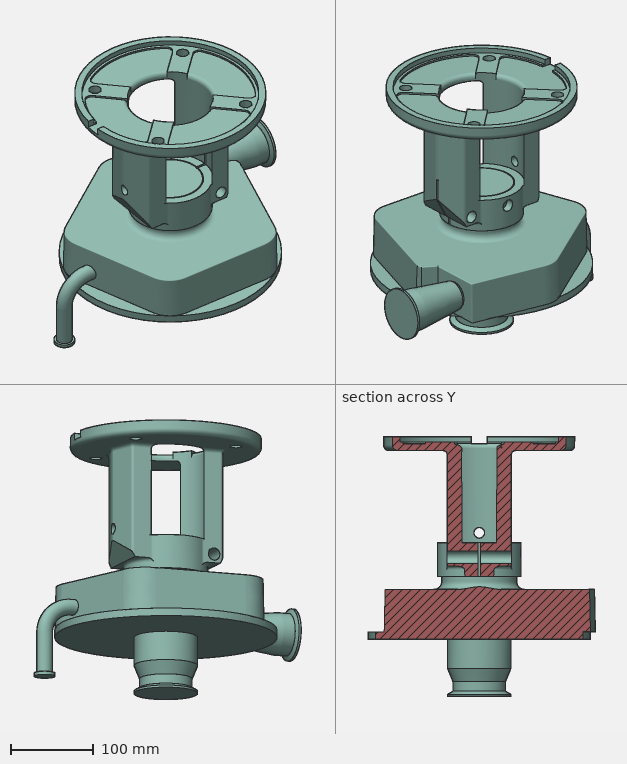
import cadquery as cq
import math


TOLERANCE = 0.05
CUT_OVERLAP = 3.7

PLATE_RADIUS = 134.5
PLATE_THICKNESS = 9.3
CASING_TOP = 60.8
CASING_APOTHEM = 115.3
CASING_SIDES = 5
CASING_CORNER_RADIUS = 35.0
CASING_DRAFT = 1.2
CASING_RIM_FILLET = 1.0
DISCHARGE_FACE_Y = 115.5
DISCHARGE_CORNER_FILLET = 2.2
DISCHARGE_CORNER_X = -123.8
NOTCH_X = -58.0
NOTCH_ANGLE = 60.0
CREST_Y = 133.0

NECK_RADIUS = 45.5
NECK_FILLET = 9.0
RING_RADIUS = 50.8
RING_BORE_RADIUS = 40.0
RING_BOTTOM = 76.0
RING_TOP = 117.0
SHAFT_RADIUS = 39.0
RING_HOLE_RADIUS = 7.5
RING_HOLE_Z = 104.5

FLANGE_RADIUS = 115.5
FLANGE_BOTTOM = 228.5
FLANGE_TOP = 245.5
FLANGE_EDGE_FILLET = 6.3
SPIGOT_RADIUS = 107.0
BORE_RADIUS = 52.0
PAD_Z = 239.0
POCKET_Z = 237.0
POCKET_RADIUS = 103.5
POCKET_CORNER_RADIUS = 8.0
PAD_WIDTH = 25.0
BORE_LIP_FILLET = 5.5
BOLT_CIRCLE_RADIUS = 92.3
BOLT_HOLE_RADIUS = 7.5
RIM_SLOT_WIDTH = 19.3

LEG_HALF_WIDTH = 39.0
LEG_SHOULDER_Y = 59.0
LEG_CREST_Y = 69.5
LEG_CREST_WIDTH = 5.0
LEG_EDGE_FILLET = 3.7
LEG_BOTTOM = 88.5
LEG_SLOPE_TOP = 114.0
LEG_SLOPE_BOTTOM_Y = 55.5
LEG_TOP_FILLET = 5.0
LEG_FOOT_FILLET = 4.5
SIGHT_HOLE_RADIUS = 6.3
SIGHT_HOLE_Z = 129.0
CLAMP_HOLE_RADIUS = 7.5
CLAMP_HOLE_Y = 47.5
CLAMP_HOLE_Z = 99.5
SLIT_WIDTH = 2.5
SLIT_TOP = 141.0

SUCTION_RADIUS = 38.5
SUCTION_END_RADIUS = 32.0
SUCTION_CONE_TOP = -35.0
SUCTION_CONE_BOTTOM = -51.0
SUCTION_COLLAR_TOP = -62.5
SUCTION_RIM_TOP = -66.5
SUCTION_BOTTOM = -69.0

DISCHARGE_X = -91.2
DISCHARGE_ROOT_RADIUS = 16.5
DISCHARGE_CONE_RADIUS = 18.5
DISCHARGE_CONE_START = 119.0
DISCHARGE_RADIUS = 26.0
DISCHARGE_CONE_END = 179.8
DISCHARGE_COLLAR_START = 194.5
DISCHARGE_RIM_START = 197.2
DISCHARGE_RIM_RADIUS = 32.0
DISCHARGE_END = 200.0

DRAIN_RADIUS = 9.5
DRAIN_Z = 28.0
DRAIN_BEND_RADIUS = 34.0
DRAIN_Y = -158.0
DRAIN_RIM_RADIUS = 12.5
DRAIN_RIM_TOP = -55.5
DRAIN_BOTTOM = -59.5


def cylinder(radius, bottom, top):
    return cq.Workplane("XY", origin=(0, 0, bottom)).circle(radius).extrude(top - bottom)


def axis_distance(point):
    return math.hypot(point.x, point.y)


def make_casing():
    """Drafted pentagon around the axis, drawn out at one corner to the upright discharge face."""
    side_turn = 2 * math.pi / CASING_SIDES
    corner_distance = CASING_APOTHEM / math.cos(side_turn / 2)
    corner_turns = [math.pi + index * side_turn for index in range(CASING_SIDES - 1)]
    corners = [(corner_distance * math.cos(turn), corner_distance * math.sin(turn)) for turn in corner_turns]
    far_y = CREST_Y + CUT_OVERLAP
    far_right_x = (CASING_APOTHEM - far_y * math.sin(side_turn)) / math.cos(side_turn)
    left_run = (DISCHARGE_CORNER_X + corner_distance) / DISCHARGE_FACE_Y
    far_left_x = far_y * left_run - corner_distance
    outline = corners + [(far_right_x, far_y), (far_left_x, far_y)]

    sketch = cq.Sketch().polygon(outline + outline[:1])
    for x, y in corners:
        nearest = cq.selectors.NearestToPointSelector((x, y, 0))
        sketch = sketch.reset().vertices(nearest).fillet(CASING_CORNER_RADIUS)
    casing = (
        cq.Workplane("XY", origin=(0, 0, PLATE_THICKNESS))
        .placeSketch(sketch.reset())
        .extrude(CASING_TOP - PLATE_THICKNESS, taper=CASING_DRAFT)
    )

    notch_run = (CREST_Y - DISCHARGE_FACE_Y) / math.tan(math.radians(NOTCH_ANGLE))
    trim = (
        cq.Workplane("XY", origin=(0, 0, PLATE_THICKNESS))
        .polyline([
            (-corner_distance, DISCHARGE_FACE_Y), (NOTCH_X, DISCHARGE_FACE_Y),
            (NOTCH_X + notch_run, CREST_Y), (corner_distance, CREST_Y),
            (corner_distance, far_y), (-corner_distance, far_y),
        ])
        .close()
        .extrude(CASING_TOP - PLATE_THICKNESS)
    )
    casing = casing.cut(trim)
    discharge_corner = cq.selectors.NearestToPointSelector(
        (DISCHARGE_CORNER_X, DISCHARGE_FACE_Y, (PLATE_THICKNESS + CASING_TOP) / 2)
    )
    casing = casing.edges(discharge_corner).fillet(DISCHARGE_CORNER_FILLET)
    casing = casing.faces(">Z").edges().fillet(CASING_RIM_FILLET)
    return casing.union(cylinder(PLATE_RADIUS, 0, PLATE_THICKNESS))


def make_neck():
    """Neck with a flared foot on the casing, carrying the shaft end."""
    flare_radius = NECK_RADIUS + NECK_FILLET
    flare_top = CASING_TOP + NECK_FILLET
    bend = NECK_FILLET * (1 - math.sqrt(0.5))
    neck = (
        cq.Workplane("XZ")
        .moveTo(0, PLATE_THICKNESS)
        .lineTo(NECK_RADIUS, PLATE_THICKNESS)
        .lineTo(NECK_RADIUS, CASING_TOP)
        .lineTo(flare_radius, CASING_TOP)
        .threePointArc((NECK_RADIUS + bend, CASING_TOP + bend), (NECK_RADIUS, flare_top))
        .lineTo(NECK_RADIUS, RING_BOTTOM)
        .lineTo(0, RING_BOTTOM)
        .close()
        .revolve(360, (0, 0, 0), (0, 1, 0))
    )
    return neck.union(cylinder(SHAFT_RADIUS, PLATE_THICKNESS, RING_TOP))


def make_pads(bottom, top):
    """Two crossed bars that carry the bolt holes."""
    bar = (
        cq.Workplane("XY", origin=(0, 0, bottom))
        .rect(2 * FLANGE_RADIUS, PAD_WIDTH)
        .extrude(top - bottom)
        .rotate((0, 0, 0), (0, 0, 1), 45)
    )
    return bar.union(bar.rotate((0, 0, 0), (0, 0, 1), 90))


def make_pockets():
    """Four sectors between the pads, each with a rounded lip down into the bore."""
    pads = make_pads(POCKET_Z - BORE_LIP_FILLET, PAD_Z)
    pockets = (
        cylinder(POCKET_RADIUS, POCKET_Z, PAD_Z)
        .cut(cylinder(BORE_RADIUS, POCKET_Z, PAD_Z))
        .cut(pads)
    )
    mid_radius = (BORE_RADIUS + POCKET_RADIUS) / 2
    outer_corners = pockets.edges("|Z").filter(lambda edge: axis_distance(edge.Center()) > mid_radius)
    pockets = outer_corners.fillet(POCKET_CORNER_RADIUS)
    lip_bottom = POCKET_Z - BORE_LIP_FILLET
    lip = (
        cq.Workplane("XZ")
        .moveTo(BORE_RADIUS, POCKET_Z)
        .lineTo(BORE_RADIUS + BORE_LIP_FILLET, POCKET_Z)
        .radiusArc((BORE_RADIUS, lip_bottom), -BORE_LIP_FILLET)
        .close()
        .revolve(360, (0, 0, 0), (0, 1, 0))
        .cut(pads)
    )
    return pockets.union(lip)


def make_flange():
    """Motor flange: recessed face, four pockets between bolt pads and a slot in the rim."""
    flange = cylinder(FLANGE_RADIUS, FLANGE_BOTTOM, FLANGE_TOP)
    flange = flange.faces("<Z").edges().fillet(FLANGE_EDGE_FILLET)
    bolt_holes = (
        cq.Workplane("XY", origin=(0, 0, FLANGE_BOTTOM))
        .polarArray(BOLT_CIRCLE_RADIUS, 45, 360, 4)
        .circle(BOLT_HOLE_RADIUS)
        .extrude(FLANGE_TOP - FLANGE_BOTTOM)
    )
    rim_slot = (
        cq.Workplane("XY")
        .box(
            RIM_SLOT_WIDTH, FLANGE_RADIUS - POCKET_RADIUS + CUT_OVERLAP, FLANGE_TOP - POCKET_Z,
            centered=(True, False, False),
        )
        .translate((0, -FLANGE_RADIUS, POCKET_Z))
    )
    return (
        flange
        .cut(cylinder(SPIGOT_RADIUS, PAD_Z, FLANGE_TOP))
        .cut(cylinder(BORE_RADIUS, FLANGE_BOTTOM, FLANGE_TOP))
        .cut(make_pockets())
        .cut(bolt_holes)
        .cut(rim_slot)
    )


def make_leg():
    """Leg on the +Y side, with a crest along its outer face and a sloped lower end."""
    half_crest = LEG_CREST_WIDTH / 2
    leg = (
        cq.Workplane("XY", origin=(0, 0, LEG_BOTTOM))
        .polyline([
            (-LEG_HALF_WIDTH, 0), (LEG_HALF_WIDTH, 0),
            (LEG_HALF_WIDTH, LEG_SHOULDER_Y), (half_crest, LEG_CREST_Y),
            (-half_crest, LEG_CREST_Y), (-LEG_HALF_WIDTH, LEG_SHOULDER_Y),
        ])
        .close()
        .extrude(FLANGE_BOTTOM - LEG_BOTTOM)
    )
    shoulders = leg.edges("|Z").filter(lambda edge: abs(edge.Center().y - LEG_SHOULDER_Y) < TOLERANCE)
    leg = shoulders.fillet(LEG_EDGE_FILLET)
    lower_end = (
        cq.Workplane("YZ", origin=(-LEG_HALF_WIDTH, 0, 0))
        .polyline([
            (LEG_SLOPE_BOTTOM_Y, LEG_BOTTOM), (LEG_CREST_Y, LEG_SLOPE_TOP), (LEG_CREST_Y, LEG_BOTTOM),
        ])
        .close()
        .extrude(2 * LEG_HALF_WIDTH)
    )
    return leg.cut(lower_end)


def is_foot_edge(edge):
    """True for the edges where the legs stand on the clamp ring."""
    on_ring = all(
        abs(axis_distance(point) - RING_RADIUS) < TOLERANCE
        for point in (edge.startPoint(), edge.endPoint())
    )
    return on_ring and RING_BOTTOM + TOLERANCE < edge.Center().z < RING_TOP - TOLERANCE


def is_leg_top_edge(edge):
    """True for the outline of the legs on the underside of the flange, apart from the bore."""
    leg_corner_distance = math.hypot(LEG_HALF_WIDTH, LEG_CREST_Y)
    on_underside = abs(edge.Center().z - FLANGE_BOTTOM) < TOLERANCE
    distance = axis_distance(edge.positionAt(0.5))
    return on_underside and BORE_RADIUS + TOLERANCE < distance < leg_corner_distance


def make_bracket():
    """Motor flange, two legs and the clamp ring."""
    rear_leg = make_leg()
    legs = rear_leg.union(rear_leg.rotate((0, 0, 0), (0, 0, 1), 180))
    legs = legs.cut(cylinder(BORE_RADIUS, RING_TOP, FLANGE_BOTTOM))
    ring = cylinder(RING_RADIUS, RING_BOTTOM, RING_TOP)
    ring_bore = cylinder(RING_BORE_RADIUS, RING_BOTTOM, RING_TOP)
    bracket = legs.union(ring).cut(ring_bore)
    bracket = bracket.edges().filter(is_foot_edge).fillet(LEG_FOOT_FILLET)
    bracket = bracket.union(make_flange())
    bracket = bracket.edges().filter(is_leg_top_edge).fillet(LEG_TOP_FILLET)

    slit = (
        cq.Workplane("XY")
        .box(SLIT_WIDTH, LEG_CREST_Y, SLIT_TOP - RING_BOTTOM, centered=(True, False, False))
        .translate((0, 0, RING_BOTTOM))
    )
    sight_hole = (
        cq.Workplane("XZ", origin=(0, 0, SIGHT_HOLE_Z)).circle(SIGHT_HOLE_RADIUS).extrude(LEG_CREST_Y)
    )
    clamp_hole = (
        cq.Workplane("YZ", origin=(-LEG_HALF_WIDTH, CLAMP_HOLE_Y, CLAMP_HOLE_Z))
        .circle(CLAMP_HOLE_RADIUS)
        .extrude(2 * LEG_HALF_WIDTH)
    )
    ring_hole = (
        cq.Workplane("YZ", origin=(-RING_RADIUS, 0, RING_HOLE_Z))
        .circle(RING_HOLE_RADIUS)
        .extrude(RING_RADIUS)
    )
    return bracket.cut(slit).cut(sight_hole).cut(clamp_hole).cut(ring_hole)


def make_suction():
    return (
        cq.Workplane("XZ")
        .polyline([
            (0, 0), (SUCTION_RADIUS, 0), (SUCTION_RADIUS, SUCTION_CONE_TOP),
            (SUCTION_END_RADIUS, SUCTION_CONE_BOTTOM), (SUCTION_END_RADIUS, SUCTION_COLLAR_TOP),
            (SUCTION_RADIUS, SUCTION_RIM_TOP), (SUCTION_RADIUS, SUCTION_BOTTOM), (0, SUCTION_BOTTOM),
        ])
        .close()
        .revolve(360, (0, 0, 0), (0, 1, 0))
    )


def make_discharge():
    """Widening pipe with a clamp rim, starting inside the casing."""
    root_y = DISCHARGE_FACE_Y - DISCHARGE_RADIUS
    center_z = (PLATE_THICKNESS + CASING_TOP) / 2
    return (
        cq.Workplane("XY")
        .polyline([
            (0, root_y), (DISCHARGE_ROOT_RADIUS, root_y), (DISCHARGE_ROOT_RADIUS, DISCHARGE_FACE_Y),
            (DISCHARGE_CONE_RADIUS, DISCHARGE_CONE_START), (DISCHARGE_RADIUS, DISCHARGE_CONE_END),
            (DISCHARGE_RADIUS, DISCHARGE_COLLAR_START), (DISCHARGE_RIM_RADIUS, DISCHARGE_RIM_START),
            (DISCHARGE_RIM_RADIUS, DISCHARGE_END), (0, DISCHARGE_END),
        ])
        .close()
        .revolve(360, (0, 0, 0), (0, 1, 0))
        .translate((DISCHARGE_X, 0, center_z))
    )


def make_drain():
    """Pipe leaving the casing along -Y and bending down to a small rim."""
    start_y = -CASING_APOTHEM + DRAIN_BEND_RADIUS
    bend_y = DRAIN_Y + DRAIN_BEND_RADIUS
    path = (
        cq.Workplane("YZ")
        .moveTo(start_y, DRAIN_Z)
        .lineTo(bend_y, DRAIN_Z)
        .radiusArc((DRAIN_Y, DRAIN_Z - DRAIN_BEND_RADIUS), -DRAIN_BEND_RADIUS)
        .lineTo(DRAIN_Y, DRAIN_BOTTOM)
    )
    pipe = cq.Workplane("XZ", origin=(0, start_y, DRAIN_Z)).circle(DRAIN_RADIUS).sweep(path)
    rim = cylinder(DRAIN_RIM_RADIUS, DRAIN_BOTTOM, DRAIN_RIM_TOP).translate((0, DRAIN_Y, 0))
    return pipe.union(rim)


result = (
    make_casing()
    .union(make_neck())
    .union(make_bracket())
    .union(make_suction())
    .union(make_discharge())
    .union(make_drain())
)